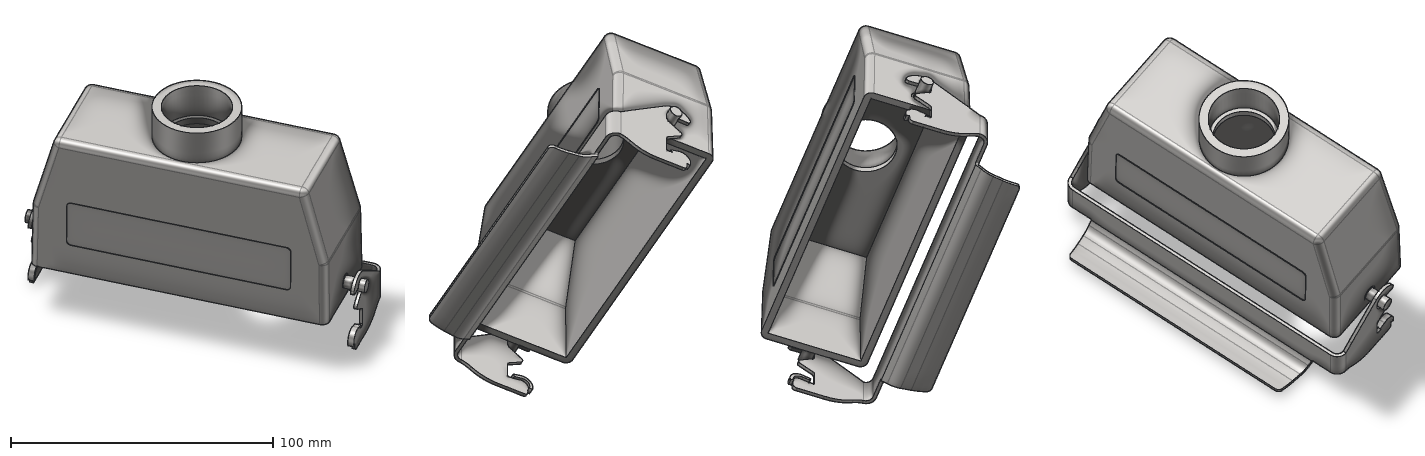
import cadquery as cq
import math


hood_height = 60.3
rim_half_x = 60.0
knee_half_x = 59.6
roof_half_x = 50.8
knee_z = 28.0
knee_radius = 3.8
rim_half_y = 21.5
roof_half_y = 20.5
hood_fillet = 3.0
wall = 2.7

label_half_x = 45.2
label_z_low = 13.0
label_z_high = 32.6
label_corner = 1.8
label_depth = 0.3

neck_top = 74.3
neck_radius = 17.1
neck_bore_radius = 13.5
entry_radius = 11.9

pin_z = 6.2
pin_diameter = 5.1
pin_radius = pin_diameter / 2
pin_end_x = 68.5
collar_radius = 3.3
collar_setback = 0.08

bail_half_x = 65.8
bail_shift_x = 0.3
bail_back_y = 26.6
sheet = 1.4
bend_radius = 4.2
strap_top = -2.9
strap_bottom = -15.5
bail_bottom = -20.7
bend_end_y = bail_back_y - bend_radius

hook_y = -3.5
hook_z = -16.6
hook_radius = 4.2
hook_start_angle = 70
hook_end_angle = 199
hook_mid_angle = (hook_start_angle + hook_end_angle) / 2
hook_nose = (0.7, -13.3)
hook_throat = (0.1, -14.4)
flange_reach = 1.1

lip_end_y = 44.4
lip_root_half_x = 52.7
lip_end_half_x = 50.1
lip_corner = 2.0
lip_z = -19.0
lip_flat_start = 32.7
lip_flat_end = 36.9
lip_root_bend = 8.2
lip_root_angle = 35
lip_root_outer_z = -16.0
lip_root_inner_z = -17.0
lip_root_fillet = 0.5
lip_tip_bend = 21.4
lip_tip_angle = 25


def polar(center_y, center_z, radius, angle):
    """Point on a circle in the YZ plane; angles run from +Y towards +Z."""
    a = math.radians(angle)
    return (center_y + radius * math.cos(a), center_z + radius * math.sin(a))


def both_sides(shape):
    """The shape together with its mirror image across the YZ plane."""
    return shape.union(shape.mirror("YZ"))


def tapered_block(inset):
    """Hood envelope: kneed end outline crossed with the drafted cross-section."""
    height = hood_height - inset
    ends = (
        cq.Workplane("XZ")
        .polyline([
            (-rim_half_x + inset, 0),
            (rim_half_x - inset, 0),
            (knee_half_x - inset, knee_z),
            (roof_half_x - inset, height),
            (-roof_half_x + inset, height),
            (-knee_half_x + inset, knee_z),
        ])
        .close()
        .extrude(rim_half_y, both=True)
    )
    knee_reach = knee_half_x - inset
    for x in (-knee_reach, knee_reach):
        ends = ends.edges(cq.NearestToPointSelector((x, 0, knee_z))).fillet(knee_radius)
    section = (
        cq.Workplane("YZ")
        .polyline([
            (-rim_half_y + inset, 0),
            (rim_half_y - inset, 0),
            (roof_half_y - inset, height),
            (-roof_half_y + inset, height),
        ])
        .close()
        .extrude(rim_half_x, both=True)
    )
    return ends.intersect(section)


def label_recess(side):
    """Shallow rounded pocket following the draft of one long side (side is -1 or +1)."""
    lean = math.degrees(math.atan2(rim_half_y - roof_half_y, hood_height))
    width = 2 * label_half_x
    height = label_z_high - label_z_low
    mid_z = (label_z_high + label_z_low) / 2
    face_y = rim_half_y - (rim_half_y - roof_half_y) * mid_z / hood_height
    return (
        cq.Workplane("XY")
        .box(width, 2 * label_depth, height)
        .edges("|Y")
        .fillet(label_corner)
        .rotate((0, 0, 0), (1, 0, 0), side * lean)
        .translate((0, side * face_y, mid_z))
    )


def make_hood():
    hood = tapered_block(0)
    corner_and_roof_edges = hood.faces("<Y or >Y or >Z").edges().edges("not <Z")
    hood = corner_and_roof_edges.fillet(hood_fillet)
    for side in (-1, 1):
        hood = hood.cut(label_recess(side))
    neck = cq.Workplane("XY").workplane(offset=hood_height - wall)
    neck = neck.circle(neck_radius).extrude(neck_top - hood_height + wall)
    bore = cq.Workplane("XY").workplane(offset=hood_height)
    bore = bore.circle(neck_bore_radius).extrude(neck_top - hood_height)
    entry = cq.Workplane("XY").circle(entry_radius).extrude(neck_top)
    return hood.union(neck).cut(bore).cut(entry).cut(tapered_block(wall))


def make_pins():
    root_x = rim_half_x - wall
    base = cq.Workplane("YZ").workplane(offset=root_x).center(0, pin_z)
    pin = base.circle(pin_radius).extrude(pin_end_x - root_x)
    collar = base.circle(collar_radius).extrude(rim_half_x - collar_setback - root_x)
    return both_sides(pin.union(collar))


def hook_point(radius, angle):
    return polar(hook_y, hook_z, radius, angle)


def side_plate():
    """Plate with an upper hook closed around the pin and a lower locking hook."""
    outline = (
        cq.Workplane("YZ")
        .workplane(offset=bail_half_x - sheet)
        .moveTo(bend_end_y, strap_top)
        .threePointArc((20.8, -1.8), (18.8, -0.3))
        .lineTo(3.0, 10.7)
        .threePointArc((-2.2, 11.6), (-7.4, 8.0))
        .threePointArc((-7.4, 6.5), (-6.5, 6.0))
        .lineTo(-pin_radius, pin_z)
        .threePointArc((0, pin_z + pin_radius), (pin_radius, pin_z))
        .lineTo(pin_radius, 4.0)
        .lineTo(1.9, 2.6)
        .lineTo(-3.3, -1.0)
        .threePointArc((-4.0, -1.9), (-3.5, -3.0))
        .lineTo(1.8, -6.3)
        .threePointArc((2.3, -6.8), (pin_radius, -7.5))
        .lineTo(pin_radius, -14.0)
        .lineTo(2.2, hook_throat[1])
        .lineTo(*hook_throat)
        .lineTo(*hook_nose)
        .lineTo(*hook_point(hook_radius, hook_start_angle))
        .threePointArc(
            hook_point(hook_radius, hook_mid_angle),
            hook_point(hook_radius, hook_end_angle),
        )
        .lineTo(*hook_point(hook_radius - sheet, hook_end_angle))
        .lineTo(-6.2, -19.2)
        .threePointArc((-5.8, -20.3), (-4.5, bail_bottom))
        .lineTo(6.5, bail_bottom)
        .threePointArc((12.6, -19.9), (18.2, -17.3))
        .threePointArc((20.3, -16.2), (bend_end_y, strap_bottom))
        .close()
    )
    return outline.extrude(sheet)


def hook_flange():
    """Strip along the rim of the lower hook, bent towards the hood."""
    inner_radius = hook_radius - sheet
    strip = (
        cq.Workplane("YZ")
        .workplane(offset=bail_half_x - sheet - flange_reach)
        .moveTo(*hook_nose)
        .lineTo(*hook_point(hook_radius, hook_start_angle))
        .threePointArc(
            hook_point(hook_radius, hook_mid_angle),
            hook_point(hook_radius, hook_end_angle),
        )
        .lineTo(*hook_point(inner_radius, hook_end_angle))
        .threePointArc(
            hook_point(inner_radius, hook_mid_angle),
            hook_point(inner_radius, hook_start_angle),
        )
        .lineTo(*hook_throat)
        .close()
    )
    return strip.extrude(sheet + flange_reach)


def strap():
    """Flat back strap with bent corners that run into the side plates."""
    height = strap_top - strap_bottom

    def rounded_bar(inset):
        return (
            cq.Workplane("XY")
            .workplane(offset=strap_bottom)
            .center(0, bend_end_y)
            .rect(2 * (bail_half_x - inset), 2 * (bend_radius - inset))
            .extrude(height)
            .edges("|Z and >Y")
            .fillet(bend_radius - inset)
        )

    front_half = (
        cq.Workplane("XY")
        .workplane(offset=strap_bottom)
        .center(0, bend_end_y - bend_radius)
        .rect(2 * bail_half_x, 2 * bend_radius)
        .extrude(height)
    )
    return rounded_bar(0).cut(rounded_bar(sheet)).cut(front_half)


def thumb_lip():
    """Curved lip below the strap: sloping root, flat middle and upturned tip."""
    root_center = (lip_flat_start, lip_z + lip_root_bend)
    tip_center = (lip_flat_end, lip_z + lip_tip_bend)
    root_end = 270 - lip_root_angle
    root_mid = 270 - lip_root_angle / 2
    tip_end = 270 + lip_tip_angle
    tip_mid = 270 + lip_tip_angle / 2
    low_root = lip_root_bend + sheet / 2
    high_root = lip_root_bend - sheet / 2
    low_tip = lip_tip_bend + sheet / 2
    high_tip = lip_tip_bend - sheet / 2
    strap_inner_y = bail_back_y - sheet
    profile = (
        cq.Workplane("YZ")
        .moveTo(strap_inner_y, strap_bottom)
        .lineTo(strap_inner_y, lip_root_inner_z)
        .lineTo(*polar(*root_center, low_root, root_end))
        .threePointArc(
            polar(*root_center, low_root, root_mid),
            polar(*root_center, low_root, 270),
        )
        .lineTo(*polar(*tip_center, low_tip, 270))
        .threePointArc(polar(*tip_center, low_tip, tip_mid), polar(*tip_center, low_tip, tip_end))
        .lineTo(*polar(*tip_center, high_tip, tip_end))
        .threePointArc(polar(*tip_center, high_tip, tip_mid), polar(*tip_center, high_tip, 270))
        .lineTo(*polar(*root_center, high_root, 270))
        .threePointArc(
            polar(*root_center, high_root, root_mid),
            polar(*root_center, high_root, root_end),
        )
        .lineTo(bail_back_y, lip_root_outer_z)
        .lineTo(bail_back_y, strap_bottom)
        .close()
        .extrude(lip_root_half_x, both=True)
    )
    plan = (
        cq.Workplane("XY")
        .workplane(offset=bail_bottom)
        .polyline([
            (-lip_root_half_x, strap_inner_y),
            (lip_root_half_x, strap_inner_y),
            (lip_end_half_x, lip_end_y),
            (-lip_end_half_x, lip_end_y),
        ])
        .close()
        .extrude(strap_bottom - bail_bottom)
        .edges("|Z and >Y")
        .fillet(lip_corner)
    )
    return profile.intersect(plan)


def make_bail():
    side = side_plate().union(hook_flange())
    back = strap().union(thumb_lip())
    for x in (-lip_root_half_x, lip_root_half_x):
        corner = (x, bail_back_y - sheet / 2, strap_bottom)
        back = back.edges(cq.NearestToPointSelector(corner)).fillet(lip_root_fillet)
    bail = both_sides(side).union(back)
    return bail.translate((bail_shift_x, 0, 0))


result = make_hood().union(make_pins()).union(make_bail())